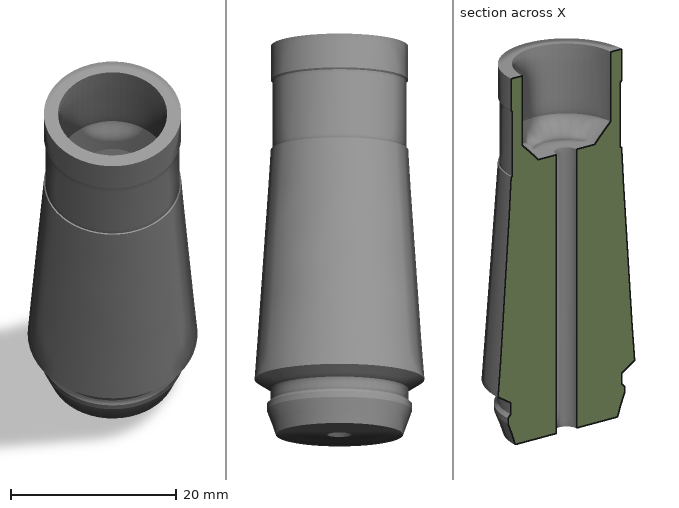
import cadquery as cq

bead_bottom_z = 3.0
bead_top_z = 3.75
groove_bottom_z = 4.15
groove_top_z = 5.6
widest_z = 6.8
shoulder_z = 35.1
collar_z = 43.75
total_height = 47.9

nose_radius = 7.7
bead_radius = 8.8
groove_radius = 8.4
widest_radius = 10.3
shoulder_radius = 8.35
neck_radius = 8.15
collar_radius = 8.35
collar_bevel_height = 0.2

bore_radius = 6.6
bore_depth = 9.1
floor_radius = 4.2
cone_height = 2.4
hole_radius = 1.5


def make_body():
    """Revolve the outer half profile about Z."""
    profile = (
        cq.Workplane("XZ")
        .lineTo(nose_radius, 0)
        .lineTo(bead_radius, bead_bottom_z)
        .lineTo(bead_radius, bead_top_z)
        .lineTo(groove_radius, groove_bottom_z)
        .lineTo(groove_radius, groove_top_z)
        .lineTo(widest_radius, widest_z)
        .lineTo(shoulder_radius, shoulder_z)
        .lineTo(neck_radius, shoulder_z)
        .lineTo(neck_radius, collar_z - collar_bevel_height)
        .lineTo(collar_radius, collar_z)
        .lineTo(collar_radius, total_height)
        .lineTo(0, total_height)
        .close()
    )
    return profile.revolve(360, (0, 0, 0), (0, 1, 0))


def make_bore():
    """Cylinder open at the top, tapering to a smaller flat floor."""
    bore_bottom_z = total_height - bore_depth
    profile = (
        cq.Workplane("XZ")
        .moveTo(0, bore_bottom_z - cone_height)
        .lineTo(floor_radius, bore_bottom_z - cone_height)
        .lineTo(bore_radius, bore_bottom_z)
        .lineTo(bore_radius, total_height)
        .lineTo(0, total_height)
        .close()
    )
    return profile.revolve(360, (0, 0, 0), (0, 1, 0))


def make_through_hole():
    """Small hole along the axis, through the floor."""
    return cq.Workplane("XY").circle(hole_radius).extrude(total_height)


result = make_body().cut(make_bore()).cut(make_through_hole())